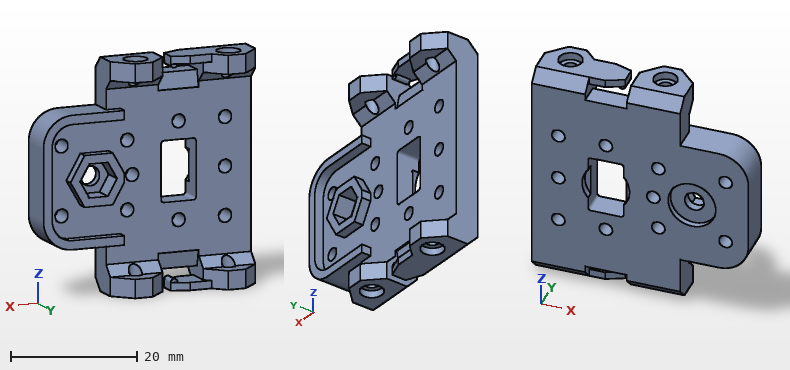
import cadquery as cq
import math

PLATE_WIDTH = 25.0
PLATE_HEIGHT = 38.0
PLATE_THICKNESS = 4.3
HALF_HEIGHT = PLATE_HEIGHT / 2
FRONT_CHAMFER = 2.0

TOTAL_LENGTH = 36.5
TAB_HALF_HEIGHT = 10.9
TAB_CORNER_RADIUS = 5.0
RIM_WIDTH = 1.5
RIM_BACK = 6.0
RIM_START_X = 22.57

SHAFT_X = 27.0
SHAFT_DIAMETER = 3.2
NUT_FLATS = 5.5
NUT_BOSS_FLATS = 8.4
NUT_SEAT_Y = 2.6

LUG_WIDTH = 9.0
LUG_PITCH = 16.0
LUG_STARTS = (0.0, LUG_PITCH)
LUG_THICKNESS = 3.1
LUG_BACK = 9.0
LUG_CORNER = 3.0
LUG_SHOULDER = LUG_BACK - LUG_CORNER
LUG_INNER = HALF_HEIGHT - LUG_THICKNESS
PIN_Y = 5.6
PIN_DIAMETER = 2.15
PIN_HEAD_DIAMETER = 3.9
PIN_HEAD_DEPTH = 1.3

FINGER_THICKNESS = 1.3
FINGER_INNER = HALF_HEIGHT - FINGER_THICKNESS
FINGER_BACK = 7.0
FINGER_TIP_X = 14.6
FINGER_TAPER_X = 11.65
FINGER_TIP_FRONT = 3.3
FINGER_TIP_BACK = 6.0
NUB_RADIUS = 0.6

RAMP_TOP_Y = 3.55
RAMP_LENGTH = 2.7
RAMP_ANGLE = 10.7

SCREW_DIAMETER = 2.2
WINDOW_X = LUG_WIDTH / 2 + LUG_PITCH / 2
WINDOW_WIDTH = 6.0
WINDOW_HEIGHT = 10.0
WINDOW_CORNER_RADIUS = 0.5
GRID_PITCH = 8.0
SHAFT_BOLT_RADIUS = 8.0
RECESS_DIAMETER = 8.0
SHAFT_RECESS_DEPTH = 1.1
WINDOW_RECESS_DEPTH = 1.3


def box(x_range, y_range, z_range):
    """Axis-aligned box between the given limits."""
    size = [high - low for low, high in (x_range, y_range, z_range)]
    corner = (x_range[0], y_range[0], z_range[0])
    return cq.Workplane("XY").box(*size, centered=False).translate(corner)


def front_sketch(y):
    """Workplane at depth y whose local axes are X and Z; it extrudes toward +Y."""
    plane = cq.Plane(origin=(0, y, 0), xDir=(1, 0, 0), normal=(0, -1, 0))
    return cq.Workplane(plane)


def prism_along_y(sketch, depth):
    """Extrude a front sketch toward +Y."""
    return sketch.extrude(-depth)


def prism_along_x(points, x_range):
    """Extrude a (y, z) outline between two X positions."""
    sketch = cq.Workplane("YZ").workplane(offset=x_range[0]).polyline(points).close()
    return sketch.extrude(x_range[1] - x_range[0])


def prism_along_z(points, z_range):
    """Extrude an (x, y) outline between two Z positions."""
    sketch = cq.Workplane("XY").workplane(offset=z_range[0]).polyline(points).close()
    return sketch.extrude(z_range[1] - z_range[0])


def hole_along_y(x, z, diameter, depth):
    """Round cutter reaching the given depth behind the front face."""
    return prism_along_y(front_sketch(0).center(x, z).circle(diameter / 2), depth)


def with_mirror(upper):
    """Upper feature together with its mirror image about z = 0."""
    return upper.union(upper.mirror("XY"))


def make_plate():
    """Flat plate between the two lug rows."""
    return box((0, PLATE_WIDTH), (0, PLATE_THICKNESS), (-LUG_INNER, LUG_INNER))


def make_tab():
    """Tab slab with rounded outer corners, hollowed at the back to leave a rim."""
    slab = box((RIM_START_X, TOTAL_LENGTH), (0, RIM_BACK), (-TAB_HALF_HEIGHT, TAB_HALF_HEIGHT))
    slab = slab.edges("|Y and >X").fillet(TAB_CORNER_RADIUS)

    pocket_half = TAB_HALF_HEIGHT - RIM_WIDTH
    x_range = (RIM_START_X, TOTAL_LENGTH - RIM_WIDTH)
    pocket = box(x_range, (PLATE_THICKNESS, RIM_BACK), (-pocket_half, pocket_half))
    pocket = pocket.edges("|Y and >X").fillet(TAB_CORNER_RADIUS - RIM_WIDTH)
    return slab.cut(pocket.cut(hexagon_at_shaft(NUT_BOSS_FLATS, 0)))


def hexagon_at_shaft(across_flats, y_start):
    """Hexagonal prism on the shaft axis, corners pointing along X, up to the rim back."""
    across_corners = across_flats / math.cos(math.radians(30))
    sketch = front_sketch(y_start).center(SHAFT_X, 0).polygon(6, across_corners)
    return prism_along_y(sketch, RIM_BACK - y_start)


def make_lug(x_start):
    """Upper lug: chamfered edge block with a gusset and a cropped back."""
    x_end = x_start + LUG_WIDTH
    gusset = RIM_BACK - PLATE_THICKNESS
    side_outline = [
        (0, LUG_INNER - gusset),
        (0, HALF_HEIGHT - FRONT_CHAMFER),
        (FRONT_CHAMFER, HALF_HEIGHT),
        (LUG_BACK, HALF_HEIGHT),
        (LUG_BACK, LUG_INNER),
        (LUG_SHOULDER, LUG_INNER),
        (PLATE_THICKNESS, LUG_INNER - gusset),
    ]
    top_outline = [
        (x_start, 0),
        (x_end, 0),
        (x_end, LUG_SHOULDER),
        (x_end - LUG_CORNER, LUG_BACK),
        (x_start + LUG_CORNER, LUG_BACK),
        (x_start, LUG_SHOULDER),
    ]
    block = prism_along_x(side_outline, (x_start, x_end))
    return block.intersect(prism_along_z(top_outline, (0, HALF_HEIGHT)))


def make_finger():
    """Upper spring finger with a half-round nub under its tip."""
    root_x = LUG_WIDTH / 2
    outline = [
        (root_x, FRONT_CHAMFER),
        (FINGER_TAPER_X, FRONT_CHAMFER),
        (FINGER_TIP_X, FINGER_TIP_FRONT),
        (FINGER_TIP_X, FINGER_TIP_BACK),
        (FINGER_TAPER_X, FINGER_BACK),
        (root_x, FINGER_BACK),
    ]
    blade = prism_along_z(outline, (FINGER_INNER, HALF_HEIGHT))
    nub_sketch = front_sketch(FINGER_TIP_FRONT).center(FINGER_TIP_X - NUB_RADIUS, FINGER_INNER)
    nub = prism_along_y(nub_sketch.circle(NUB_RADIUS), FINGER_TIP_BACK - FINGER_TIP_FRONT)
    return blade.union(nub)


def make_pin_hole(x):
    """Hinge pin hole through the upper lug, counterbored from its outer face."""
    pin = cq.Workplane("XY").center(x, PIN_Y).circle(PIN_DIAMETER / 2).extrude(HALF_HEIGHT)
    head_plane = cq.Workplane("XY").workplane(offset=HALF_HEIGHT - PIN_HEAD_DEPTH)
    head = head_plane.center(x, PIN_Y).circle(PIN_HEAD_DIAMETER / 2).extrude(PIN_HEAD_DEPTH)
    return pin.union(head)


def make_ramp_cut():
    """Wedge removed from the plate back, deepening toward the upper notch."""
    ramp_bottom_z = LUG_INNER - RAMP_LENGTH
    ramp_bottom_y = RAMP_TOP_Y + RAMP_LENGTH * math.tan(math.radians(RAMP_ANGLE))
    outline = [
        (RAMP_TOP_Y, LUG_INNER),
        (ramp_bottom_y, ramp_bottom_z),
        (PLATE_THICKNESS, ramp_bottom_z),
        (PLATE_THICKNESS, LUG_INNER),
    ]
    return prism_along_x(outline, (LUG_WIDTH, LUG_PITCH))


def screw_positions():
    """Grid holes around the window plus the four bolts around the shaft."""
    left_x = WINDOW_X - GRID_PITCH
    right_x = WINDOW_X + GRID_PITCH
    grid = [(x, z) for x in (left_x, WINDOW_X) for z in (-GRID_PITCH, GRID_PITCH)]
    grid += [(left_x, 0), (right_x, 0)]
    bolt_offset = SHAFT_BOLT_RADIUS * math.cos(math.radians(45))
    signs = (-1, 1)
    bolts = [(SHAFT_X + i * bolt_offset, k * bolt_offset) for i in signs for k in signs]
    return grid + bolts


def make_window():
    """Rectangular through opening with rounded corners."""
    half_width = WINDOW_WIDTH / 2
    half_height = WINDOW_HEIGHT / 2
    x_range = (WINDOW_X - half_width, WINDOW_X + half_width)
    window = box(x_range, (0, PLATE_THICKNESS), (-half_height, half_height))
    return window.edges("|Y").fillet(WINDOW_CORNER_RADIUS)


result = make_plate().union(make_tab())
for lug_start in LUG_STARTS:
    result = result.union(with_mirror(make_lug(lug_start)))
result = result.union(with_mirror(make_finger()))

for lug_start in LUG_STARTS:
    result = result.cut(with_mirror(make_pin_hole(lug_start + LUG_WIDTH / 2)))
result = result.cut(with_mirror(make_ramp_cut()))
result = result.cut(hexagon_at_shaft(NUT_FLATS, NUT_SEAT_Y))

for screw_x, screw_z in screw_positions():
    result = result.cut(hole_along_y(screw_x, screw_z, SCREW_DIAMETER, RIM_BACK))
result = result.cut(hole_along_y(SHAFT_X, 0, SHAFT_DIAMETER, RIM_BACK))
result = result.cut(hole_along_y(SHAFT_X, 0, RECESS_DIAMETER, SHAFT_RECESS_DEPTH))
result = result.cut(hole_along_y(WINDOW_X, 0, RECESS_DIAMETER, WINDOW_RECESS_DEPTH))
result = result.cut(make_window())